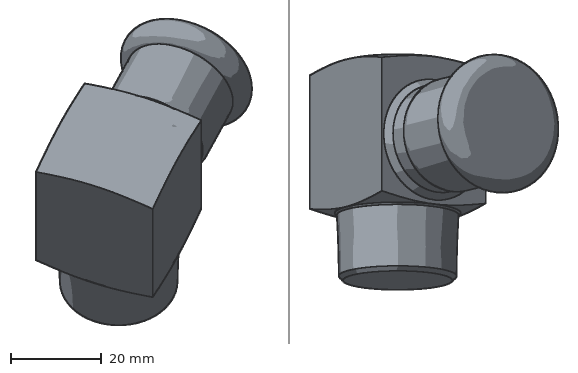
import cadquery as cq
import math


body_width = 27.9
body_top = 19.0
body_chamfer_angle = math.radians(15)
top_face_diameter = 25.1
collar_diameter = 27.8

thread_start_z = -14.85
male_end_z = -29.5
thread_end_diameter = 26.05
end_chamfer = 0.95
thread_taper = 1 / 16

socket_end_y = 42.55
bead_diameter = 30.8
bead_radius = 3.8
tube_diameter = 25.3
tube_length = 21.0
shoulder_length = 2.05
neck_diameter = 24.0
neck_end = 27.1

half_width = body_width / 2
corner_radius = half_width * math.sqrt(2)
thread_length = thread_start_z - male_end_z - end_chamfer
thread_start_diameter = thread_end_diameter + thread_taper * thread_length


def chamfer_drop(outer_radius, inner_radius):
    """Axial height of the shallow body chamfer between two radii."""
    return (outer_radius - inner_radius) * math.tan(body_chamfer_angle)


def make_body_and_male_end():
    """Square bar cut by a turned profile that also forms the male end."""
    top_radius = top_face_diameter / 2
    collar_radius = collar_diameter / 2
    thread_start_radius = thread_start_diameter / 2
    thread_end_radius = thread_end_diameter / 2
    collar_z = thread_start_z + collar_radius - thread_start_radius
    turned = (
        cq.Workplane("XZ")
        .moveTo(0, body_top)
        .lineTo(top_radius, body_top)
        .lineTo(corner_radius, body_top - chamfer_drop(corner_radius, top_radius))
        .lineTo(corner_radius, collar_z + chamfer_drop(corner_radius, collar_radius))
        .lineTo(collar_radius, collar_z)
        .lineTo(thread_start_radius, thread_start_z)
        .lineTo(thread_end_radius, male_end_z + end_chamfer)
        .lineTo(thread_end_radius - end_chamfer, male_end_z)
        .lineTo(0, male_end_z)
        .close()
        .revolve(360, (0, 0, 0), (0, 1, 0))
    )
    bar = (
        cq.Workplane("XY", origin=(0, 0, male_end_z))
        .rect(body_width, body_width)
        .extrude(body_top - male_end_z)
    )
    return bar.intersect(turned)


def make_socket():
    """Turned socket: rounded bead, tube, rounded shoulder, neck and flared root."""
    tube_radius = tube_diameter / 2
    neck_radius = neck_diameter / 2
    bead_center_radius = bead_diameter / 2 - bead_radius
    bead_center_y = socket_end_y - bead_radius

    bead_foot_angle = math.asin((tube_radius - bead_center_radius) / bead_radius)
    bead_foot_y = bead_center_y - bead_radius * math.cos(bead_foot_angle)

    shoulder_y = socket_end_y - tube_length
    neck_start_y = shoulder_y - shoulder_length
    step = tube_radius - neck_radius
    shoulder_radius = (shoulder_length**2 + step**2) / (2 * step)
    half_sweep = math.asin(shoulder_length / shoulder_radius) / 2
    shoulder_middle = (
        tube_radius - shoulder_radius * (1 - math.cos(half_sweep)),
        shoulder_y - shoulder_radius * math.sin(half_sweep),
    )

    neck_end_y = socket_end_y - neck_end
    root_radius = neck_radius + neck_end_y - half_width

    return (
        cq.Workplane("XY")
        .moveTo(0, socket_end_y)
        .lineTo(bead_center_radius, socket_end_y)
        .threePointArc((bead_diameter / 2, bead_center_y), (tube_radius, bead_foot_y))
        .lineTo(tube_radius, shoulder_y)
        .threePointArc(shoulder_middle, (neck_radius, neck_start_y))
        .lineTo(neck_radius, neck_end_y)
        .lineTo(root_radius, half_width)
        .lineTo(root_radius, 0)
        .lineTo(0, 0)
        .close()
        .revolve(360, (0, 0, 0), (0, 1, 0))
    )


result = make_body_and_male_end().union(make_socket())